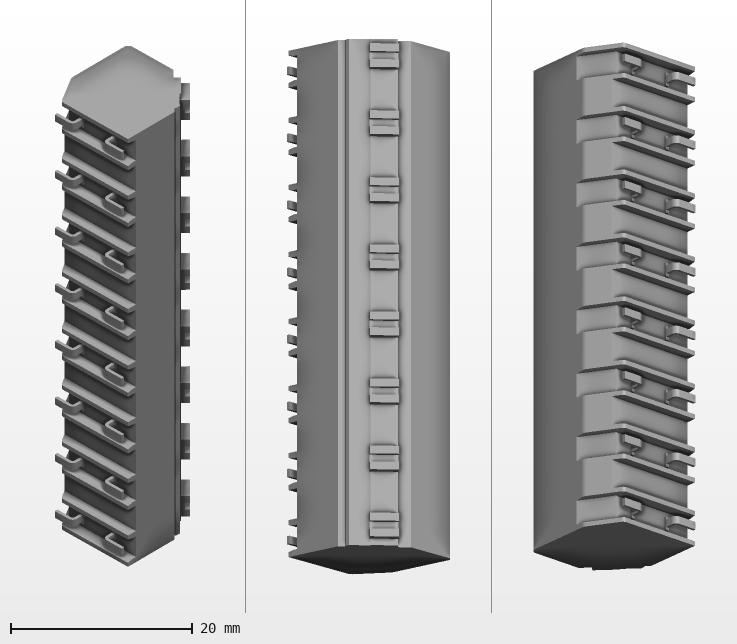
import cadquery as cq
import math

POLES = 8
PITCH = 7.62
END_MARGIN = 2.1
LENGTH = (POLES - 1) * PITCH + 2 * END_MARGIN
WIDTH = 12.7
DEPTH = 13.0
OVERALL_DEPTH = 13.82
LEFT = -WIDTH / 2
RIGHT = WIDTH / 2

BACK_CHAMFER = 0.5
SLOPE_HEIGHT = 4.05
SLOPE_RATIO = 0.598
SLOPE_WIDTH = SLOPE_HEIGHT * SLOPE_RATIO
SLOPE_TOP_RADIUS = 1.0
SLOPE_BOTTOM_RADIUS = 0.6
OPERATING_CHAMFER = 5.7
LEDGE_START = 1.05
LEDGE_STEP = 0.55
RIM_START = 3.75
RIM_DROP = 0.12
LEDGE_INSET = 0.4
LEDGE_UNDERCUT = 0.15

FLOOR = 1.25
RIB = 0.71
RIB_TAPER_DROP = 0.17
RIB_TAPER_LENGTH = 0.8
PIN_RECESS = 2 * (END_MARGIN - RIB)
SPACER_RECESS = PITCH - PIN_RECESS - 2 * RIB
PIN_RECESS_TOP = 5.25

PIN_THICKNESS = 0.4
PIN_WIDTH = 0.9
PIN_BOTTOM = -0.6
PIN_BEND_RADIUS = 0.65
SHOULDER_WIDTH = 1.66
SHOULDER_DROP = 0.25
LEFT_PIN_INNER = LEFT + 4.78
LEFT_PIN_TIP = LEFT + 2.0
RIGHT_PIN_INNER = LEFT + 9.38
RIGHT_PIN_TIP = LEFT + 12.3

BUTTON_TOP_CORNER = (LEFT + 9.3, OVERALL_DEPTH + PIN_BOTTOM)
BUTTON_LENGTH = 3.2
BUTTON_WIDTH = 2.7
BUTTON_ROOT = 2.0
BUTTON_SLOT_WIDTH = 0.9
BUTTON_SLOT_DEPTH = 0.6

POLE_HEIGHTS = [(i - (POLES - 1) / 2) * PITCH for i in range(POLES)]
SPACER_HEIGHTS = [z + PITCH / 2 for z in POLE_HEIGHTS[:-1]]


def prism(points, height, z_centre=0):
    """Closed outline extruded symmetrically about z_centre."""
    plane = cq.Workplane("XY", origin=(0, 0, z_centre))
    return plane.polyline(points).close().extrude(height / 2, both=True)


def slab(x_min, x_max, y_min, y_max, height, z_centre):
    """Block given by its X and Y limits."""
    block = cq.Workplane("XY").box(x_max - x_min, y_max - y_min, height)
    return block.translate(((x_min + x_max) / 2, (y_min + y_max) / 2, z_centre))


def housing():
    face_x = RIGHT - OPERATING_CHAMFER
    ledge_x = face_x + LEDGE_START
    ledge_y = DEPTH - LEDGE_START
    ledge_sum = ledge_x + ledge_y + 2 * LEDGE_STEP
    rim_sum = ledge_sum - 2 * RIM_DROP
    rim_x = face_x + RIM_START
    end_x = RIGHT - LEDGE_INSET
    notch_x = end_x - LEDGE_UNDERCUT
    notch_y = DEPTH + face_x - notch_x
    points = [
        (LEFT + SLOPE_WIDTH, 0),
        (RIGHT, 0),
        (RIGHT, DEPTH - OPERATING_CHAMFER),
        (notch_x, notch_y),
        (end_x, notch_y + LEDGE_UNDERCUT),
        (end_x, rim_sum - end_x),
        (rim_x - RIM_DROP, rim_sum - rim_x + RIM_DROP),
        (rim_x, ledge_sum - rim_x),
        (ledge_x + LEDGE_STEP, ledge_y + LEDGE_STEP),
        (ledge_x, ledge_y),
        (face_x, DEPTH),
        (LEFT + BACK_CHAMFER, DEPTH),
        (LEFT, DEPTH - BACK_CHAMFER),
        (LEFT, SLOPE_HEIGHT),
    ]
    body = prism(points, LENGTH)
    body = body.edges(cq.NearestToPointSelector((LEFT, SLOPE_HEIGHT, 0))).fillet(SLOPE_TOP_RADIUS)
    bottom_corner = cq.NearestToPointSelector((LEFT + SLOPE_WIDTH, 0, 0))
    return body.edges(bottom_corner).fillet(SLOPE_BOTTOM_RADIUS)


def taper_wedge(start, run, inward, z):
    """Wedge running both ways from start, widest on the rib edge and narrowing along inward."""
    root = PIN_RECESS / 2
    mouth = root + RIB_TAPER_DROP
    normal = (run[0], run[1], 0)
    plane = cq.Plane(origin=(start[0], start[1], z), xDir=(inward[0], inward[1], 0), normal=normal)
    section = [
        (0, -mouth),
        (0, mouth),
        (RIB_TAPER_LENGTH, root),
        (RIB_TAPER_LENGTH, -root),
    ]
    return cq.Workplane(plane).polyline(section).close().extrude(WIDTH, both=True)


def pin_recess(z):
    """Recess around the pins: floor, sunken bevel, and walls that taper apart towards the rib edges."""
    points = [
        (LEFT, 0),
        (RIGHT, 0),
        (RIGHT, FLOOR),
        (LEFT + (PIN_RECESS_TOP - FLOOR) * SLOPE_RATIO, FLOOR),
        (LEFT, PIN_RECESS_TOP),
    ]
    corner = (LEFT + SLOPE_WIDTH, 0)
    front_taper = taper_wedge(corner, (1, 0), (0, 1), z)
    slope_taper = taper_wedge(corner, (SLOPE_RATIO, -1), (1, SLOPE_RATIO), z)
    mouth = prism(points, PIN_RECESS + 2 * RIB_TAPER_DROP, z).intersect(front_taper.union(slope_taper))
    return prism(points, PIN_RECESS, z).union(mouth)


def spacer_recess(z):
    return slab(LEFT, RIGHT, 0, FLOOR, SPACER_RECESS, z)


def pin(inner_x, tip_x, z):
    """Bent strip: a leg out of the floor and a foot that turns outward to tip_x."""
    out = math.copysign(1, tip_x - inner_x)
    outer_x = inner_x + out * PIN_THICKNESS
    root_y = FLOOR + PIN_THICKNESS
    foot_top = PIN_BOTTOM + PIN_THICKNESS
    inside_radius = PIN_BEND_RADIUS - PIN_THICKNESS
    centre_x = inner_x + out * PIN_BEND_RADIUS
    centre_y = PIN_BOTTOM + PIN_BEND_RADIUS
    diagonal = math.sqrt(0.5)

    def bend_middle(radius):
        return (centre_x - out * radius * diagonal, centre_y - radius * diagonal)

    strip = (
        cq.Workplane("XY", origin=(0, 0, z))
        .moveTo(inner_x, root_y)
        .lineTo(inner_x, centre_y)
        .threePointArc(bend_middle(PIN_BEND_RADIUS), (centre_x, PIN_BOTTOM))
        .lineTo(tip_x, PIN_BOTTOM)
        .lineTo(tip_x, foot_top)
        .lineTo(centre_x, foot_top)
        .threePointArc(bend_middle(inside_radius), (outer_x, centre_y))
        .lineTo(outer_x, root_y)
        .close()
        .extrude(PIN_WIDTH / 2, both=True)
    )
    x_min, x_max = sorted((inner_x, outer_x))
    return strip.union(slab(x_min, x_max, FLOOR - SHOULDER_DROP, root_y, SHOULDER_WIDTH, z))


def button(z):
    """Slotted block standing square on the 45 degree operating face."""
    corner_x, corner_y = BUTTON_TOP_CORNER
    top_plane = cq.Plane(origin=(corner_x, corner_y, z), xDir=(1, -1, 0), normal=(1, 1, 0))
    middle = BUTTON_LENGTH / 2
    block = cq.Workplane(top_plane).center(middle, 0).rect(BUTTON_LENGTH, BUTTON_WIDTH).extrude(-BUTTON_ROOT)
    slot = cq.Workplane(top_plane).center(middle, 0).rect(BUTTON_LENGTH, BUTTON_SLOT_WIDTH)
    return block.cut(slot.extrude(-BUTTON_SLOT_DEPTH))


result = housing()
for height in SPACER_HEIGHTS:
    result = result.cut(spacer_recess(height))
for height in POLE_HEIGHTS:
    result = result.cut(pin_recess(height))
    result = result.union(pin(LEFT_PIN_INNER, LEFT_PIN_TIP, height))
    result = result.union(pin(RIGHT_PIN_INNER, RIGHT_PIN_TIP, height))
    result = result.union(button(height))